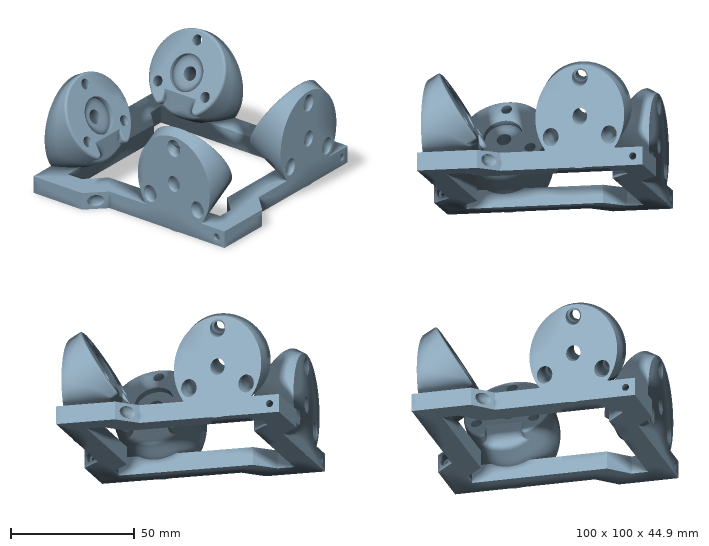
import cadquery as cq
import math

frame_half = 50.0
frame_height = 7.5
bar_width = 10.0
joint_step = 8.0
joint_end = 17.0
side_count = 4

bolt_diameter = 3.0
bolt_head_diameter = 5.0
bolt_head_depth = 6.0

puck_diameter = 37.0
puck_length = 15.7
puck_tilt = 30.0
puck_offset = 24.0
puck_height = 21.1
rim_fillet = 1.0

centre_hole_diameter = 6.0
recess_diameter = 16.0
recess_depth = 2.5
screw_hole_diameter = 4.5
screw_head_diameter = 6.5
screw_seat_depth = 5.0
screw_circle_radius = 14.0
screw_count = 3

notch_width = 15.0
notch_wall = 23.9
ear_fillet = 2.0
outlet_fillet = 2.0

bar_face = frame_half - joint_step
bar_inner = bar_face - bar_width
block_inner = frame_half - bar_width
block_middle = (frame_half + bar_face) / 2
joint_start = joint_end - joint_step
joint_middle = (joint_start + joint_end) / 2
tilt = math.radians(puck_tilt)
face_distance = bar_face - puck_length * math.cos(tilt)
face_height = puck_height + puck_length * math.sin(tilt)
notch_edge = (face_distance - notch_wall) / math.sin(tilt)
backing_width = notch_width + 2 * (ear_fillet + rim_fillet)
overrun = 2 * puck_diameter


def quarter_turned(point, turns):
    """Turn a plan point about the middle of the frame."""
    x, y = point
    for _ in range(turns):
        x, y = -y, x
    return x, y


def ring_outline(side_points):
    """Solid whose plan outline repeats the given points on all four sides."""
    points = [quarter_turned(point, turns) for turns in range(side_count) for point in side_points]
    return cq.Workplane("XY").polyline(points).close().extrude(frame_height)


def make_frame():
    outside = ring_outline([
        (-bar_face, -frame_half),
        (-joint_end, -frame_half),
        (-joint_start, -bar_face),
    ])
    opening = ring_outline([
        (-bar_inner, -block_inner),
        (-joint_end - joint_step, -block_inner),
        (-joint_end, -bar_inner),
    ])
    return outside.cut(opening)


def make_bolt_hole():
    """Stepped hole along X in the corner block of the -Y side, sunk from its joint face."""
    block_end = cq.Workplane("YZ", origin=(-frame_half, -block_middle, frame_height / 2))
    shank = block_end.circle(bolt_diameter / 2).extrude(frame_half)
    head_seat = frame_half - joint_middle - bolt_head_depth
    head = block_end.workplane(offset=head_seat).circle(bolt_head_diameter / 2).extrude(frame_half - head_seat)
    return shank.union(head)


def place_puck(shape):
    """Move a shape from puck axes to the -Y side.

    In puck axes Z is the puck axis, the face lies at Z = 0 and +Y runs down the face.
    """
    tipped = shape.rotate((0, 0, 0), (1, 0, 0), puck_tilt - 90)
    return tipped.translate((puck_offset, -face_distance, face_height))


def below_notch_edge(width):
    """Block of the given width, in puck axes, with its upper side at the origin."""
    return cq.Workplane("XY").box(width, overrun, 2 * overrun, centered=(True, False, True))


def make_round_bar():
    return cq.Workplane("XY").circle(puck_diameter / 2).extrude(-overrun)


def make_slotted_puck():
    """Round puck with a slot along its lower side that leaves two rounded ears."""
    slot = below_notch_edge(notch_width).translate((0, notch_edge, 0))
    puck = make_round_bar().cut(slot)
    puck = puck.edges("|Z").edges(">Y").fillet(ear_fillet)
    return puck.faces(">Z").edges("not |X").fillet(rim_fillet)


def make_notch_backing():
    """Fill the slot behind an upright wall, rounded where the wall runs out below."""
    in_front_of_wall = (
        below_notch_edge(overrun)
        .rotate((0, 0, 0), (1, 0, 0), 90 - puck_tilt)
        .translate((0, notch_edge, 0))
    )
    backing = make_round_bar().cut(in_front_of_wall)
    backing = backing.edges("%ELLIPSE").fillet(outlet_fillet)
    return backing.intersect(below_notch_edge(backing_width).translate((0, notch_edge, 0)))


def make_puck():
    puck = make_slotted_puck().union(make_notch_backing())
    beyond_bar = cq.Workplane("XZ", origin=(0, -bar_face, 0)).rect(2 * overrun, 2 * overrun).extrude(overrun)
    return place_puck(puck).cut(beyond_bar)


def screw_circle(plane):
    """Screw places on a plane across the puck axis, the first one at the top."""
    return plane.polarArray(screw_circle_radius, -90, 360, screw_count)


def make_puck_holes():
    face = cq.Workplane("XY")
    recess = face.circle(recess_diameter / 2).extrude(-recess_depth)
    centre_hole = face.circle(centre_hole_diameter / 2).extrude(-overrun)
    screw_holes = screw_circle(face).circle(screw_hole_diameter / 2).extrude(-overrun)
    head_seat = face.workplane(offset=-screw_seat_depth)
    screw_heads = screw_circle(head_seat).circle(screw_head_diameter / 2).extrude(-overrun)
    return place_puck(recess.union(centre_hole).union(screw_holes).union(screw_heads))


def on_every_side(body, shape, combine):
    """Combine a -Y side shape with the body on all four sides."""
    for side in range(side_count):
        body = combine(body, shape.rotate((0, 0, 0), (0, 0, 1), side * 360 / side_count))
    return body


result = make_frame()
result = on_every_side(result, make_bolt_hole(), cq.Workplane.cut)
result = on_every_side(result, make_puck().cut(make_puck_holes()), cq.Workplane.union)